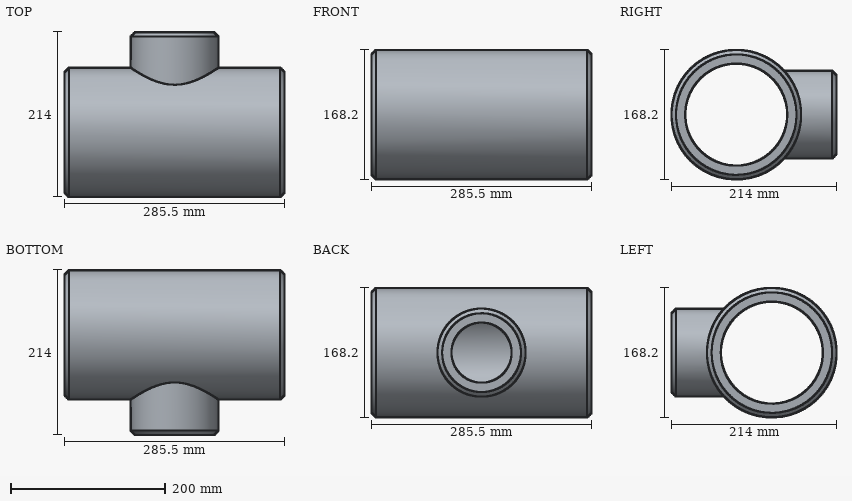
import cadquery as cq

run_length = 285.5
run_diameter = 168.2
run_bore = 132.0
branch_diameter = 114.2
overall_depth = 214.0
end_chamfer = 6.0

wall = (run_diameter - run_bore) / 2
branch_bore = branch_diameter - 2 * wall
branch_reach = overall_depth - run_diameter / 2


def make_run():
    """Solid run cylinder, centred on the origin, with both ends bevelled."""
    run = cq.Workplane("YZ").circle(run_diameter / 2).extrude(run_length / 2, both=True)
    return run.faces("<X or >X").chamfer(end_chamfer)


def along_branch(diameter):
    """Cylinder from the run axis to the branch end."""
    return cq.Workplane("XZ").circle(diameter / 2).extrude(-branch_reach)


def make_branch():
    """Solid branch with its free end bevelled."""
    return along_branch(branch_diameter).faces(">Y").chamfer(end_chamfer)


run_hole = cq.Workplane("YZ").circle(run_bore / 2).extrude(run_length / 2, both=True)
branch_hole = along_branch(branch_bore)

result = make_run().union(make_branch()).cut(run_hole).cut(branch_hole)